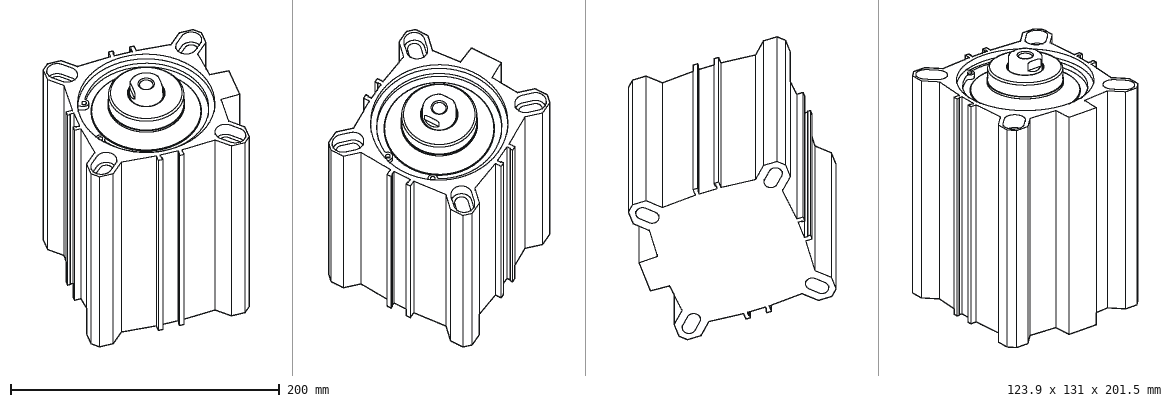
import cadquery as cq
import math

TOTAL_HEIGHT = 201.5
BODY_HEIGHT = 181.0
COLLAR_TOP = 191.8

LUG_REACH = 61.96
LUG_CORNER_CUT = 5.0
LUG_OFFSET = 15.7
PANEL_MID = 54.5
PANEL_END = 52.4
RIB_OUTER = 10.0
RIB_INNER = 6.5
RIB_REACH = 59.5
UNDERCUT_DEPTH = 0.6
UNDERCUT_TOP = 57.2
PORT_REACH = 69.01
PORT_TIP_HALF_WIDTH = 12.9
PORT_ROOT_HALF_WIDTH = 13.7

SLOT_OUTER_CENTRE = 52.4
SLOT_INNER_CENTRE = 46.7
SLOT_WIDTH = 10.0
HEAD_SLOT_WIDTH = 15.7
HEAD_SLOT_DEPTH = 10.7

BORE_DIA = 102.2
RING_OUTER_DIA = 106.2
RING_INNER_DIA = 93.0
RING_TOP = BODY_HEIGHT - 5.0
RING_THICKNESS = 3.8
RING_BOTTOM = RING_TOP - RING_THICKNESS
RING_GAP_HALF_ANGLE = 20.3
EYE_HALF_ANGLE = 24.6
EYE_DIA = 7.0
EYE_HOLE_DIA = 3.5
EYE_FILLET = 2.0

COVER_THICKNESS = 24.2
COVER_BOTTOM = RING_BOTTOM - COVER_THICKNESS
CONE_BASE_DIA = 82.2
CONE_EDGE_DIA = 81.2
CONE_EDGE_HEIGHT = 0.6
CONE_TOP = BODY_HEIGHT - 1.6
COLLAR_DIA = 56.0
COLLAR_FOOT_DIA = 57.2
COLLAR_CHAMFER = 1.5
MOUTH_DIA = 28.0
CLEARANCE_DIA = 26.8
CLEARANCE_DEPTH = 2.0

ROD_DIA = 25.0
ROD_FILLET = 1.6
FLAT_DISTANCE = 10.9
FLAT_BOTTOM = 194.6
THREAD_HOLE_DIA = 10.0
THREAD_MOUTH_DIA = 12.0
THREAD_HOLE_DEPTH = 20.2
DRILL_POINT_ANGLE = 118.0


def cylinder(diameter, bottom, top):
    """Upright cylinder on the part axis."""
    return cq.Workplane("XY").workplane(offset=bottom).circle(diameter / 2).extrude(top - bottom)


def revolve_profile(points):
    """Solid of revolution about Z from (radius, height) points."""
    return cq.Workplane("XZ").polyline(points).close().revolve(360, (0, 0, 0), (0, 1, 0))


def prism(points):
    """Extrusion over the full housing height."""
    return cq.Workplane("XY").polyline(points).close().extrude(BODY_HEIGHT)


def diagonal_slot(angle, width, bottom, top):
    """Slot-shaped cutter along the diagonal at the given angle."""
    length = (SLOT_OUTER_CENTRE - SLOT_INNER_CENTRE) * math.sqrt(2) + width
    centre = (SLOT_OUTER_CENTRE + SLOT_INNER_CENTRE) / 2 * math.sqrt(2)
    slot = cq.Workplane("XY").workplane(offset=bottom).center(centre, 0).slot2D(length, width)
    return slot.extrude(top - bottom).rotate((0, 0, 0), (0, 0, 1), angle)


def make_profile_block():
    """Square block with four sloped panels and a lug on each corner."""
    lug_side = LUG_REACH - LUG_OFFSET
    lug_root = PANEL_END - LUG_OFFSET
    corner = LUG_REACH - LUG_CORNER_CUT
    quarter = [
        (PANEL_MID, -RIB_OUTER),
        (PANEL_MID, RIB_OUTER),
        (PANEL_END, lug_root),
        (LUG_REACH, lug_side),
        (LUG_REACH, corner),
        (corner, LUG_REACH),
        (lug_side, LUG_REACH),
        (lug_root, PANEL_END),
    ]
    outline = []
    for _ in range(4):
        outline += quarter
        quarter = [(-y, x) for x, y in quarter]
    return prism(outline)


def make_rib_pair(angle):
    """Two facing ribs on the side at the given angle, undercut at their roots."""
    root = PANEL_MID - UNDERCUT_DEPTH
    rib = [
        (root, RIB_OUTER),
        (RIB_REACH, RIB_OUTER),
        (RIB_REACH, RIB_INNER),
        (UNDERCUT_TOP, RIB_INNER),
        (UNDERCUT_TOP, RIB_INNER + UNDERCUT_DEPTH),
        (root, RIB_INNER + UNDERCUT_DEPTH),
    ]
    upper = prism(rib)
    pair = upper.union(upper.mirror("XZ"))
    return pair.rotate((0, 0, 0), (0, 0, 1), angle)


def make_port_block():
    """Tapered block along the +Y side."""
    return prism([
        (-PORT_ROOT_HALF_WIDTH, PANEL_END),
        (PORT_ROOT_HALF_WIDTH, PANEL_END),
        (PORT_TIP_HALF_WIDTH, PORT_REACH),
        (-PORT_TIP_HALF_WIDTH, PORT_REACH),
    ])


def make_housing():
    body = make_profile_block().union(make_port_block())
    for angle in (0, 180, 270):
        body = body.union(make_rib_pair(angle))
    for angle in (45, 135, 225, 315):
        body = body.cut(diagonal_slot(angle, SLOT_WIDTH, 0, BODY_HEIGHT))
        body = body.cut(diagonal_slot(angle, HEAD_SLOT_WIDTH, BODY_HEIGHT - HEAD_SLOT_DEPTH, BODY_HEIGHT))
    body = body.cut(cylinder(BORE_DIA, COVER_BOTTOM, BODY_HEIGHT))
    return body.cut(cylinder(RING_OUTER_DIA, RING_BOTTOM, RING_TOP))


def ring_inner_point(angle):
    """Offset from the axis to the inner edge of the ring, at an angle from -Y towards +X."""
    radius = RING_INNER_DIA / 2
    return (radius * math.sin(math.radians(angle)), -radius * math.cos(math.radians(angle)), 0)


def make_snap_ring():
    """Open ring with a pierced eye at each end."""
    ring = cylinder(RING_OUTER_DIA, RING_BOTTOM, RING_TOP).cut(cylinder(RING_INNER_DIA, RING_BOTTOM, RING_TOP))

    gap_depth = RING_OUTER_DIA
    gap_half_width = gap_depth * math.tan(math.radians(RING_GAP_HALF_ANGLE))
    gap = prism([(0, 0), (-gap_half_width, -gap_depth), (gap_half_width, -gap_depth)])
    ring = ring.cut(gap)

    for side in (-1, 1):
        eye_centre = ring_inner_point(side * EYE_HALF_ANGLE)
        ring = ring.union(cylinder(EYE_DIA, RING_BOTTOM, RING_TOP).translate(eye_centre))

        eye_span = 2 * math.degrees(math.asin(EYE_DIA / 2 / RING_INNER_DIA))
        neck_x, neck_y, _ = ring_inner_point(side * (EYE_HALF_ANGLE + eye_span))
        neck = (neck_x, neck_y, (RING_BOTTOM + RING_TOP) / 2)
        ring = ring.edges("|Z").edges(cq.NearestToPointSelector(neck)).fillet(EYE_FILLET)

        ring = ring.cut(cylinder(EYE_HOLE_DIA, RING_BOTTOM, RING_TOP).translate(eye_centre))
    return ring


def make_cover():
    """Flanged cover with a conical shoulder, a collar and the rod bore."""
    mouth_chamfer = (MOUTH_DIA - CLEARANCE_DIA) / 2
    return revolve_profile([
        (ROD_DIA / 2, COVER_BOTTOM),
        (BORE_DIA / 2, COVER_BOTTOM),
        (BORE_DIA / 2, RING_BOTTOM),
        (CONE_BASE_DIA / 2, RING_BOTTOM),
        (CONE_EDGE_DIA / 2, RING_BOTTOM + CONE_EDGE_HEIGHT),
        (COLLAR_FOOT_DIA / 2, CONE_TOP),
        (COLLAR_FOOT_DIA / 2, BODY_HEIGHT),
        (COLLAR_DIA / 2, BODY_HEIGHT),
        (COLLAR_DIA / 2, COLLAR_TOP - COLLAR_CHAMFER),
        (COLLAR_DIA / 2 - COLLAR_CHAMFER, COLLAR_TOP),
        (MOUTH_DIA / 2, COLLAR_TOP),
        (CLEARANCE_DIA / 2, COLLAR_TOP - mouth_chamfer),
        (CLEARANCE_DIA / 2, COLLAR_TOP - CLEARANCE_DEPTH),
        (ROD_DIA / 2, COLLAR_TOP - CLEARANCE_DEPTH),
    ])


def make_rod():
    """Rod with a drilled end and two wrench flats that run out at 45 degrees."""
    radius = ROD_DIA / 2
    mouth_depth = (THREAD_MOUTH_DIA - THREAD_HOLE_DIA) / 2
    hole_bottom = TOTAL_HEIGHT - THREAD_HOLE_DEPTH
    point_depth = THREAD_HOLE_DIA / 2 / math.tan(math.radians(DRILL_POINT_ANGLE / 2))
    rod = revolve_profile([
        (0, COVER_BOTTOM),
        (radius, COVER_BOTTOM),
        (radius, TOTAL_HEIGHT),
        (THREAD_MOUTH_DIA / 2, TOTAL_HEIGHT),
        (THREAD_HOLE_DIA / 2, TOTAL_HEIGHT - mouth_depth),
        (THREAD_HOLE_DIA / 2, hole_bottom),
        (0, hole_bottom - point_depth),
    ])
    rod = rod.faces(">Z").edges(cq.selectors.RadiusNthSelector(-1)).fillet(ROD_FILLET)

    run_out = radius - FLAT_DISTANCE
    flat_cut = (
        cq.Workplane("YZ")
        .polyline([
            (FLAT_DISTANCE, TOTAL_HEIGHT),
            (FLAT_DISTANCE, FLAT_BOTTOM),
            (radius, FLAT_BOTTOM - run_out),
            (radius, TOTAL_HEIGHT),
        ])
        .close()
        .extrude(radius, both=True)
    )
    return rod.cut(flat_cut).cut(flat_cut.mirror("XZ"))


housing = make_housing()
snap_ring = make_snap_ring()
cover = make_cover()
rod = make_rod()

result = cq.Compound.makeCompound([housing.val(), snap_ring.val(), cover.val(), rod.val()])